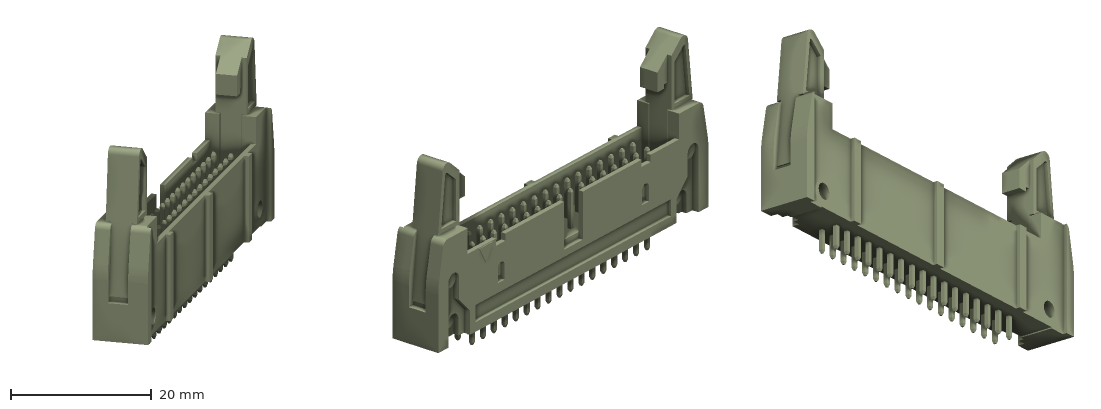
import cadquery as cq

SIDES = (1, -1)

HALF_LENGTH = 31.35
BODY_WIDTH = 7.5
MID_X = BODY_WIDTH / 2
WALL_TOP = 13.05
BODY_BOTTOM = 0.2
FOOT_INNER_Y = 27.0
TOWER_INNER_Y = 24.5
TOWER_TOP = 17.05
TOWER_SHOULDER_Y = 30.0
TOWER_BEND_Z = 10.2
TOWER_BEND_RADIUS = 11.3
TOWER_TOP_RADIUS = 1.05

WALL = 0.75
FLOOR_Z = 6.5
KEY_WIDTH = 4.4
KEY_BOTTOM = 5.5

PIN_COLUMNS = 17
PIN_ROW_LENGTH = 40.6
PITCH = PIN_ROW_LENGTH / (PIN_COLUMNS - 1)
PIN_SIZE = 0.6
PIN_TIP_SIZE = 0.3
PIN_TIP_LENGTH = 0.45
PIN_BOTTOM = -3.4
PIN_TOP = 12.65

WINDOW_Y = 16.75
NOTCH_Y = 16.85
WINDOW_WIDTH = 1.55
WINDOW_BOTTOM = 5.9
WINDOW_TOP = 8.95
NOTCH_WIDTH = 2.1
NOTCH_BOTTOM = 11.9

RECESS_HALF_LENGTH = 22.7
RECESS_BOTTOM = 1.7
RECESS_TOP = 4.4
RECESS_DEPTH = 0.6
MARK_Y = 20.4
MARK_HALF_WIDTH = 1.55
MARK_TOP = 12.9
MARK_APEX = 10.2
MARK_HEIGHT = 0.1

RIB_HEIGHT = 0.7
RIB_WIDTH = 1.55
RIB_Y = 19.4
END_RIB_INNER_Y = 29.65

HOLE_DIAMETER = 2.5
HOLE_Y = 26.45
HOLE_Z = 2.75
PIVOT_DIAMETER = 2.5
PIVOT_Y = 27.75
PIVOT_Z = 9.95
PIVOT_HEIGHT = 0.5
POCKET_DEPTH = 1.1
POCKET_INNER_Y = 23.95
POCKET_SLOPE_LOW_Z = 3.95
POCKET_SLOPE_HIGH_Z = 6.6
HOLE_SLOT_DEPTH = 0.9

SLOT_WIDTH = 3.0
SLOT_BOTTOM = 5.7
SLOT_UNDERCUT_Y = 30.4
INNER_SLOT_WIDTH = 3.4
INNER_SLOT_END_Y = 27.6
RELIEF_END_Y = 21.8

LATCH_WIDTH = 4.65
STEM_WIDTH = 3.15
LATCH_OFFSET = 0.05
STEM_FOOT_Y = 30.65
STEM_FOOT_Z = 6.5
HEAD_BOTTOM = 17.25
LATCH_APEX_Y = 28.15
LATCH_APEX_Z = 28.95
LATCH_TOP_RADIUS = 1.05
HOOK_TIP_Y = 22.25
HOOK_TIP_TOP = 23.7
HOOK_BOTTOM = 20.6
HOOK_LIP_Y = 23.75
HOOK_UNDERCUT_Z = 21.3
PANEL_DEPTH = 0.7
OUTER_SLOPE = (LATCH_APEX_Y - STEM_FOOT_Y) / (LATCH_APEX_Z - STEM_FOOT_Z)
UPPER_SLOPE = (LATCH_APEX_Z - HOOK_TIP_TOP) / (LATCH_APEX_Y - HOOK_TIP_Y)
HEAD_OUTER_Y = STEM_FOOT_Y + OUTER_SLOPE * (HEAD_BOTTOM - STEM_FOOT_Z)
HOOK_ROOT_Z = HOOK_TIP_TOP + UPPER_SLOPE * (TOWER_INNER_Y - HOOK_TIP_Y)
PANEL_OUTLINE = [(28.7, 18.0), (27.75, 26.3), (27.3, 26.3), (25.25, 24.5), (25.25, 18.0)]


def plate(points, side, x_start, x_end):
    """Extrude a closed (Y, Z) outline along X; side = -1 mirrors it to the -Y end."""
    outline = [(side * y, z) for y, z in points]
    return cq.Workplane("YZ", origin=(x_start, 0, 0)).polyline(outline).close().extrude(x_end - x_start)


def block(x_start, x_end, y_start, y_end, z_start, z_end):
    """Box between the given limits."""
    size = (x_end - x_start, y_end - y_start, z_end - z_start)
    return cq.Workplane().box(*size, centered=False).translate((x_start, y_start, z_start))


def rod(y, z, diameter, x_start, x_end):
    """Cylinder along X."""
    return cq.Workplane("YZ", origin=(x_start, y, z)).circle(diameter / 2).extrude(x_end - x_start)


def tower(side, x_start, x_end):
    """Slab with the leaning, rounded outline of a housing end."""
    slab = plate(
        [
            (TOWER_INNER_Y, BODY_BOTTOM),
            (FOOT_INNER_Y, BODY_BOTTOM),
            (FOOT_INNER_Y, 0),
            (HALF_LENGTH, 0),
            (HALF_LENGTH, TOWER_BEND_Z),
            (TOWER_SHOULDER_Y, TOWER_TOP),
            (TOWER_INNER_Y, TOWER_TOP),
        ],
        side, x_start, x_end,
    )
    x_mid = (x_start + x_end) / 2
    bend = cq.NearestToPointSelector((x_mid, side * HALF_LENGTH, TOWER_BEND_Z))
    shoulder = cq.NearestToPointSelector((x_mid, side * TOWER_SHOULDER_Y, TOWER_TOP))
    slab = slab.edges("|X").edges(bend).fillet(TOWER_BEND_RADIUS)
    return slab.edges("|X").edges(shoulder).fillet(TOWER_TOP_RADIUS)


def housing_shell():
    """Trough between two towers, with ribs on the +X face."""
    rib_face = BODY_WIDTH + RIB_HEIGHT
    shell = block(0, BODY_WIDTH, -TOWER_INNER_Y, TOWER_INNER_Y, BODY_BOTTOM, WALL_TOP)
    for side in SIDES:
        shell = shell.union(tower(side, 0, BODY_WIDTH))
        y_low, y_high = sorted((side * END_RIB_INNER_Y, side * HALF_LENGTH))
        end_zone = block(BODY_WIDTH, rib_face, y_low, y_high, 0, TOWER_TOP)
        shell = shell.union(tower(side, BODY_WIDTH, rib_face).intersect(end_zone))
    for y in (-RIB_Y, 0, RIB_Y):
        rib = block(BODY_WIDTH, rib_face, y - RIB_WIDTH / 2, y + RIB_WIDTH / 2, BODY_BOTTOM, WALL_TOP)
        shell = shell.union(rib)
    return shell.cut(block(WALL, BODY_WIDTH - WALL, -TOWER_INNER_Y, TOWER_INNER_Y, FLOOR_Z, WALL_TOP))


def wall_opening(y_mid, width, z_start, z_end):
    """Cutter passing through the keyed wall."""
    return block(0, WALL, y_mid - width / 2, y_mid + width / 2, z_start, z_end)


def keyed_wall_cuts():
    """Key slot, long recess, and a window and rim notch towards each end."""
    cuts = wall_opening(0, KEY_WIDTH, KEY_BOTTOM, WALL_TOP)
    cuts = cuts.union(
        block(0, RECESS_DEPTH, -RECESS_HALF_LENGTH, RECESS_HALF_LENGTH, RECESS_BOTTOM, RECESS_TOP)
    )
    arch_z = WINDOW_TOP - WINDOW_WIDTH / 2
    for side in SIDES:
        cuts = cuts.union(wall_opening(side * WINDOW_Y, WINDOW_WIDTH, WINDOW_BOTTOM, arch_z))
        cuts = cuts.union(rod(side * WINDOW_Y, arch_z, WINDOW_WIDTH, 0, WALL))
        cuts = cuts.union(wall_opening(side * NOTCH_Y, NOTCH_WIDTH, NOTCH_BOTTOM, WALL_TOP))
    return cuts


def end_pocket(side):
    """Stepped pocket holding the pivot, with a deeper slot below the mounting hole."""
    radius = PIVOT_DIAMETER / 2
    pocket = plate(
        [
            (PIVOT_Y + radius, 0),
            (PIVOT_Y + radius, PIVOT_Z),
            (PIVOT_Y - radius, PIVOT_Z),
            (PIVOT_Y - radius, POCKET_SLOPE_HIGH_Z),
            (POCKET_INNER_Y, POCKET_SLOPE_LOW_Z),
            (POCKET_INNER_Y, 0),
        ],
        side, 0, POCKET_DEPTH,
    )
    pocket = pocket.union(rod(side * PIVOT_Y, PIVOT_Z, PIVOT_DIAMETER, 0, POCKET_DEPTH))
    pocket = pocket.cut(
        rod(side * PIVOT_Y, PIVOT_Z, PIVOT_DIAMETER, POCKET_DEPTH - PIVOT_HEIGHT, POCKET_DEPTH)
    )
    y = side * HOLE_Y
    half = HOLE_DIAMETER / 2
    hole_slot = block(0, POCKET_DEPTH + HOLE_SLOT_DEPTH, y - half, y + half, 0, HOLE_Z)
    return pocket.union(hole_slot).union(rod(y, HOLE_Z, HOLE_DIAMETER, 0, BODY_WIDTH))


def latch_slot(side):
    """Narrow slot open to the outer end, wider slot inside, and a sloped relief in the floor."""
    outer = plate(
        [
            (HALF_LENGTH, SLOT_BOTTOM),
            (SLOT_UNDERCUT_Y, SLOT_BOTTOM),
            (SLOT_UNDERCUT_Y, STEM_FOOT_Z),
            (INNER_SLOT_END_Y, STEM_FOOT_Z),
            (INNER_SLOT_END_Y, TOWER_TOP),
            (HALF_LENGTH, TOWER_TOP),
        ],
        side, MID_X - SLOT_WIDTH / 2, MID_X + SLOT_WIDTH / 2,
    )
    inner_x = (MID_X - INNER_SLOT_WIDTH / 2, MID_X + INNER_SLOT_WIDTH / 2)
    relief = plate(
        [
            (RELIEF_END_Y, FLOOR_Z),
            (TOWER_INNER_Y, FLOOR_Z - (TOWER_INNER_Y - RELIEF_END_Y)),
            (TOWER_INNER_Y, FLOOR_Z),
        ],
        side, *inner_x,
    )
    y_low, y_high = sorted((side * TOWER_INNER_Y, side * INNER_SLOT_END_Y))
    inner = block(*inner_x, y_low, y_high, FLOOR_Z, TOWER_TOP)
    return outer.union(relief).union(inner)


def latch(side):
    """Ejector latch: wide head with recessed sides, narrow hook and stem."""
    x_mid = MID_X + side * LATCH_OFFSET
    head_x = (x_mid - LATCH_WIDTH / 2, x_mid + LATCH_WIDTH / 2)
    stem_x = (x_mid - STEM_WIDTH / 2, x_mid + STEM_WIDTH / 2)
    head = plate(
        [
            (TOWER_INNER_Y, HEAD_BOTTOM),
            (HEAD_OUTER_Y, HEAD_BOTTOM),
            (LATCH_APEX_Y, LATCH_APEX_Z),
            (TOWER_INNER_Y, HOOK_ROOT_Z),
        ],
        side, *head_x,
    )
    head = head.edges(">Z").fillet(LATCH_TOP_RADIUS)
    head = head.cut(plate(PANEL_OUTLINE, side, head_x[0], head_x[0] + PANEL_DEPTH))
    head = head.cut(plate(PANEL_OUTLINE, side, head_x[1] - PANEL_DEPTH, head_x[1]))
    stem = plate(
        [
            (TOWER_INNER_Y, STEM_FOOT_Z),
            (STEM_FOOT_Y, STEM_FOOT_Z),
            (HEAD_OUTER_Y, HEAD_BOTTOM),
            (TOWER_INNER_Y, HOOK_ROOT_Z),
            (HOOK_TIP_Y, HOOK_TIP_TOP),
            (HOOK_TIP_Y, HOOK_BOTTOM),
            (HOOK_LIP_Y, HOOK_BOTTOM),
            (HOOK_LIP_Y, HOOK_UNDERCUT_Z),
            (TOWER_INNER_Y, HOOK_UNDERCUT_Z),
        ],
        side, *stem_x,
    )
    return head.union(stem)


def pin():
    """Square pin on the Z axis with a tapered tip at both ends."""
    shaft_bottom = PIN_BOTTOM + PIN_TIP_LENGTH
    shaft_top = PIN_TOP - PIN_TIP_LENGTH
    shaft = cq.Workplane().rect(PIN_SIZE, PIN_SIZE).extrude(shaft_top - shaft_bottom)
    for face in (">Z", "<Z"):
        shaft = (
            shaft.faces(face).workplane().rect(PIN_SIZE, PIN_SIZE)
            .workplane(offset=PIN_TIP_LENGTH).rect(PIN_TIP_SIZE, PIN_TIP_SIZE).loft(combine=True)
        )
    return shaft.translate((0, 0, shaft_bottom))


def pin_one_mark():
    """Raised triangle marking the first pin."""
    return plate(
        [(MARK_Y - MARK_HALF_WIDTH, MARK_TOP), (MARK_Y + MARK_HALF_WIDTH, MARK_TOP), (MARK_Y, MARK_APEX)],
        1, -MARK_HEIGHT, 0,
    )


result = housing_shell().cut(keyed_wall_cuts()).union(pin_one_mark())
for side in SIDES:
    result = result.cut(end_pocket(side)).cut(latch_slot(side)).union(latch(side))

pins = (
    cq.Workplane().center(MID_X, 0).rarray(PITCH, PITCH, 2, PIN_COLUMNS)
    .eachpoint(pin().val(), combine=False)
)
result = result.union(pins)